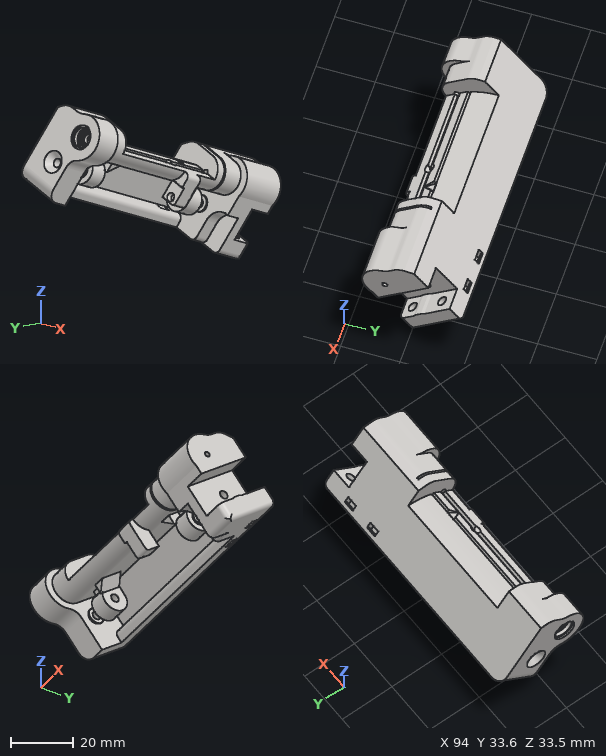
import cadquery as cq
import math

TILT = 38.7
LENGTH = 94.0

LEFT_BOSS_END = 9.5
WINDOW_START = 17.1
WINDOW_END = 64.6
RIGHT_BOSS_START = 76.5
RIGHT_FOOT_START = 81.9

CROWN_V = 29.3
LEFT_FLAT_U = 5.5
RIGHT_FLAT_U = 6.1
LEFT_CREST = (1.7, 28.0)
LEFT_BACK_TOP = 26.4
RIGHT_CREST = (2.4, 28.0)
RIGHT_BACK_TOP = 25.7
LEFT_FOOT_U = 15.4
RIGHT_FOOT_U = 21.7
RECESS_U = 15.1
RECESS_V = 13.9
RECESS_BLEND = 5.8
FOOT_ROUND = 2.1

ROD_U = 14.5
ROD_V = 23.5
BOSS_R = 7.6
BOSS_TOP_BLEND = 6.4
BOSS_FOOT_BLEND = 4.7
ROD_HOLE_D = 1.8
BORE_STEPS = ((7.9, 0.75), (6.6, 2.3), (5.5, 3.0), (4.4, 3.8), (3.3, 5.3))

HOUSING_U = 13.4
HOUSING_R = CROWN_V - ROD_V
HOUSING_FRONT = HOUSING_U + HOUSING_R

BACK_WALL = 0.9
CAVITY_TOP = ROD_V - HOUSING_R
RAIL_U = 5.9
RAIL_V = 4.2
RAIL_ROUND = 2.1

COVER_BACK_V = 19.0
COVER_FRONT = (8.8, 23.0)
COVER_R = 19.7
SEAM_WIDTH = 0.8
SEAM_DEPTH = 1.4
ROD_GROOVE_U = 14.3
ROD_GROOVE_WIDTH = 2.1
ROD_GROOVE_DEPTH = 1.4
NOTCH_X = 54.9
NOTCH_WIDTH = 3.5
NOTCH_DEPTH = 1.3
FUNNEL_X = 47.0
FUNNEL_D = 3.6
FUNNEL_TIP_D = 1.8
FUNNEL_DEPTH = 2.1

SLIT_START = 67.9
SLIT_WIDTH = 0.75
SLIT_BACK_U = 1.9
SLIT_FLOOR_V = 17.1

SCREW_U = 9.6
SCREW_V = 11.3
SCREW_HOLE_D = 2.9
COUNTERSINK_D = 7.3
COLLAR_R = 4.7
COLLAR_LENGTH = 6.4
LEFT_COLLAR_START = 14.7
RIGHT_COLLAR_START = 64.9
RIM_R = 2.6
RIM_LENGTH = 0.6
PAD_R = 2.8
PAD_LENGTH = 0.6
GUSSET_LENGTH = 4.2
GUSSET_WIDTH = 9.0
GUSSET_DROP = 3.4

CLIP_START = 49.1
CLIP_END = 55.6
CLIP_STEP = 1.0
CLIP_BACK_U = 15.8
CLIP_BOTTOM = 11.9
CLIP_STEP_V = 18.7
CLIP_TOP = ROD_V
CLIP_TOP_ROUND = 1.7
CLIP_BOTTOM_ROUND = 1.1
CLIP_HOLE_U = 18.7
CLIP_HOLE_V = 13.6
CLIP_HOLE_D = 2.9
CLIP_TIP_D = 1.8
CLIP_HOLE_DEPTH = 1.4

END_SLOT_START = 85.9
END_SLOT_BOTTOM = 6.6
END_SLOT_TOP = 18.1
RIDGE_BASE = (11.0, 15.5)
RIDGE_TOP = (12.2, 14.5)
RIDGE_HEIGHT = 0.3
END_HOLE_X = 90.0
END_HOLE_D = 3.3
END_HOLE_DEPTH = 3.8
END_HOLE_US = (4.9, 17.6)

LOOP_STARTS = (68.2, 80.0)
LOOP_WIDTH = 4.1
LOOP_BOTTOM = 1.8
LOOP_TOP = 3.95
LOOP_DEPTH = 3.2
LOOP_BAR = 0.9

LEFT_CORNER_R = 4.6
RIGHT_CORNER_R = 2.1

CLEAR = 47.0


def box(x0, x1, u0, u1, v0, v1):
    """Block between two corners given in x, u and v."""
    return cq.Workplane("XY").box(x1 - x0, u1 - u0, v1 - v0, centered=False).translate((x0, -u1, v0))


def rod(x0, x1, u, v, diameter):
    """Cylinder along the length."""
    return cq.Workplane("YZ", origin=(x0, 0, 0)).center(-u, v).circle(diameter / 2).extrude(x1 - x0)


def cone(x0, x1, u, v, start_d, end_d):
    """Truncated cone along the length."""
    solid = cq.Solid.makeCone(
        start_d / 2, end_d / 2, x1 - x0, pnt=cq.Vector(x0, -u, v), dir=cq.Vector(1, 0, 0)
    )
    return cq.Workplane(obj=solid)


def sketch(x0, u, v):
    """Start a cross-section outline at station x0."""
    return cq.Workplane("YZ", origin=(x0, 0, 0)).moveTo(-u, v)


def add_crown(outline, flat_u, crest, back_top):
    """Finish an outline over the crown and down the back."""
    return (
        outline.lineTo(-flat_u, CROWN_V)
        .tangentArcPoint((-crest[0], crest[1]), relative=False)
        .lineTo(0, back_top)
        .close()
    )


def add_boss(outline, start):
    """Continue an outline from start, around the boss to the flat of the crown."""
    rise = CROWN_V + BOSS_TOP_BLEND - ROD_V
    reach = BOSS_R + BOSS_TOP_BLEND
    blend_u = ROD_U - math.sqrt(reach**2 - rise**2)
    boss_end_u = ROD_U + (blend_u - ROD_U) * BOSS_R / reach
    boss_end_v = ROD_V + rise * BOSS_R / reach
    return (
        outline.threePointArc((-(ROD_U + BOSS_R), ROD_V), (-boss_end_u, boss_end_v))
        .tangentArcPoint((-blend_u, CROWN_V), relative=False)
    )


def left_end():
    """Left block: narrow foot blended into the boss."""
    run = LEFT_FOOT_U + BOSS_FOOT_BLEND - ROD_U
    reach = BOSS_R + BOSS_FOOT_BLEND
    drop = math.sqrt(reach**2 - run**2)
    boss_start = (ROD_U + run * BOSS_R / reach, ROD_V - drop * BOSS_R / reach)
    outline = (
        sketch(0, 0, 0)
        .lineTo(-LEFT_FOOT_U, 0)
        .lineTo(-LEFT_FOOT_U, ROD_V - drop)
        .tangentArcPoint((-boss_start[0], boss_start[1]), relative=False)
    )
    outline = add_boss(outline, boss_start)
    return add_crown(outline, LEFT_FLAT_U, LEFT_CREST, LEFT_BACK_TOP).extrude(LEFT_BOSS_END)


def right_end():
    """Right block: wide foot, set back and rounded beside the cavity."""
    boss_start = (RIGHT_FOOT_U, ROD_V - math.sqrt(BOSS_R**2 - (RIGHT_FOOT_U - ROD_U) ** 2))
    outline = sketch(RIGHT_BOSS_START, 0, 0).lineTo(-RIGHT_FOOT_U, 0).lineTo(-boss_start[0], boss_start[1])
    outline = add_boss(outline, boss_start)
    block = add_crown(outline, RIGHT_FLAT_U, RIGHT_CREST, RIGHT_BACK_TOP)
    block = block.extrude(LENGTH - RIGHT_BOSS_START)
    recess = box(RIGHT_BOSS_START, RIGHT_FOOT_START, RECESS_U, CLEAR, 0, RECESS_V)
    block = block.cut(recess.edges("|X and >Y and >Z").fillet(RECESS_BLEND))
    front_feet = cq.selectors.BoxSelector((RIGHT_BOSS_START - 0.9, -CLEAR, -0.9), (LENGTH + 0.9, -RECESS_U + 0.9, 0.9))
    return block.edges("|X").edges(front_feet).fillet(FOOT_ROUND)


def housing(x0, x1, flat_u, crest, back_top):
    """Head with a flat crown, a round front and a plain back wall below."""
    outline = (
        sketch(x0, 0, 0)
        .lineTo(-BACK_WALL, 0)
        .lineTo(-BACK_WALL, CAVITY_TOP)
        .lineTo(-HOUSING_U, CAVITY_TOP)
        .threePointArc((-HOUSING_FRONT, ROD_V), (-HOUSING_U, CROWN_V))
    )
    return add_crown(outline, flat_u, crest, back_top).extrude(x1 - x0)


def window_body():
    """Middle stretch: curved cover at the back and the housing cut flat at the rod axis."""
    chord_u = COVER_FRONT[0]
    chord_v = COVER_FRONT[1] - COVER_BACK_V
    chord = math.hypot(chord_u, chord_v)
    bulge = COVER_R - math.sqrt(COVER_R**2 - chord**2 / 4)
    mid_u = chord_u / 2 - bulge * chord_v / chord
    mid_v = COVER_BACK_V + chord_v / 2 + bulge * chord_u / chord
    seam_front = COVER_FRONT[0] + SEAM_WIDTH
    seam_floor = COVER_FRONT[1] - SEAM_DEPTH
    half = math.sqrt(0.5) * HOUSING_R
    body = (
        sketch(WINDOW_START, 0, 0)
        .lineTo(-BACK_WALL, 0)
        .lineTo(-BACK_WALL, CAVITY_TOP)
        .lineTo(-HOUSING_U, CAVITY_TOP)
        .threePointArc((-(HOUSING_U + half), ROD_V - half), (-HOUSING_FRONT, ROD_V))
        .lineTo(-seam_front, ROD_V)
        .lineTo(-seam_front, seam_floor)
        .lineTo(-COVER_FRONT[0], seam_floor)
        .lineTo(-COVER_FRONT[0], COVER_FRONT[1])
        .threePointArc((-mid_u, mid_v), (0, COVER_BACK_V))
        .close()
        .extrude(WINDOW_END - WINDOW_START)
    )
    groove_back = ROD_GROOVE_U - ROD_GROOVE_WIDTH / 2
    groove_front = ROD_GROOVE_U + ROD_GROOVE_WIDTH / 2
    body = body.cut(
        box(WINDOW_START, WINDOW_END, groove_back, groove_front, ROD_V - ROD_GROOVE_DEPTH, ROD_V)
    )
    notch = (
        cq.Workplane("XY", origin=(NOTCH_X, 0, ROD_V - NOTCH_DEPTH))
        .polyline(
            [(-NOTCH_WIDTH / 2, -seam_front), (NOTCH_WIDTH / 2, -seam_front), (0, -groove_back)]
        )
        .close()
        .extrude(NOTCH_DEPTH)
    )
    ramp = (
        sketch(NOTCH_X - NOTCH_WIDTH / 2, seam_front, ROD_V - NOTCH_DEPTH)
        .lineTo(-seam_front, ROD_V)
        .lineTo(-groove_back, ROD_V)
        .close()
        .extrude(NOTCH_WIDTH)
    )
    notch = notch.intersect(ramp)
    funnel = cq.Solid.makeCone(
        FUNNEL_D / 2,
        FUNNEL_TIP_D / 2,
        FUNNEL_DEPTH,
        pnt=cq.Vector(FUNNEL_X, -ROD_GROOVE_U, ROD_V),
        dir=cq.Vector(0, 0, -1),
    )
    return body.cut(notch).cut(cq.Workplane(obj=funnel))


def rail():
    """Thick lower edge of the back wall with a rounded front corner."""
    bar = box(LEFT_BOSS_END, RIGHT_BOSS_START, 0, RAIL_U, 0, RAIL_V)
    return bar.edges("|X and >Z and <Y").fillet(RAIL_ROUND)


def collar(start, outward):
    """Collar on the screw axis hung from the housing; outward is -1 or 1 along x."""
    end = start + COLLAR_LENGTH
    ring = rod(start, end, SCREW_U, SCREW_V, 2 * COLLAR_R)
    web = box(start, end, SCREW_U - COLLAR_R, SCREW_U, SCREW_V, CAVITY_TOP)
    outer, inner = (start, end) if outward < 0 else (end, start)
    rim_ends = sorted((outer, outer + outward * RIM_LENGTH))
    rim = rod(*rim_ends, SCREW_U, SCREW_V, 2 * RIM_R)
    gusset = (
        cq.Workplane("XZ", origin=(0, GUSSET_WIDTH / 2 - SCREW_U, 0))
        .polyline(
            [
                (inner, CAVITY_TOP),
                (inner - outward * GUSSET_LENGTH, CAVITY_TOP),
                (inner, CAVITY_TOP - GUSSET_DROP),
            ]
        )
        .close()
        .extrude(GUSSET_WIDTH)
    )
    return ring.union(web).union(rim).union(gusset)


def clip():
    """Hook block under the front of the housing stepped on its left side, with a conical dimple."""
    narrow_start = CLIP_START + CLIP_STEP
    block = box(CLIP_START, CLIP_END, CLIP_BACK_U, RIGHT_FOOT_U, CLIP_BOTTOM, CLIP_TOP)
    block = block.edges("|X and <Y and >Z").fillet(CLIP_TOP_ROUND)
    block = block.edges("|X and <Y and <Z").fillet(CLIP_BOTTOM_ROUND)
    step = box(CLIP_START, narrow_start, CLIP_BACK_U, RIGHT_FOOT_U, CLIP_BOTTOM, CLIP_STEP_V)
    dimple = cone(
        narrow_start, narrow_start + CLIP_HOLE_DEPTH, CLIP_HOLE_U, CLIP_HOLE_V, CLIP_HOLE_D, CLIP_TIP_D
    )
    return block.cut(step).cut(dimple)


def cut_axes(body):
    """Rod hole with its stepped bore, and the countersunk screw hole."""
    body = body.cut(rod(0, LENGTH, ROD_U, ROD_V, ROD_HOLE_D))
    for diameter, depth in BORE_STEPS:
        body = body.cut(rod(0, depth, ROD_U, ROD_V, diameter))
    body = body.cut(rod(0, LENGTH, SCREW_U, SCREW_V, SCREW_HOLE_D))
    sink_depth = (COUNTERSINK_D - SCREW_HOLE_D) / 2
    return body.cut(cone(0, sink_depth, SCREW_U, SCREW_V, COUNTERSINK_D, SCREW_HOLE_D))


def cut_end_slot(body):
    """Slot across the right end, with a low ridge and two holes in its floor."""
    body = body.cut(box(END_SLOT_START, LENGTH, 0, CLEAR, END_SLOT_BOTTOM, END_SLOT_TOP))
    holes = (
        cq.Workplane("XY", origin=(0, 0, END_SLOT_BOTTOM - END_HOLE_DEPTH))
        .pushPoints([(END_HOLE_X, -u) for u in END_HOLE_US])
        .circle(END_HOLE_D / 2)
        .extrude(END_HOLE_DEPTH)
    )
    ridge_top_v = END_SLOT_BOTTOM + RIDGE_HEIGHT
    ridge = (
        sketch(END_SLOT_START, RIDGE_BASE[0], END_SLOT_BOTTOM)
        .lineTo(-RIDGE_TOP[0], ridge_top_v)
        .lineTo(-RIDGE_TOP[1], ridge_top_v)
        .lineTo(-RIDGE_BASE[1], END_SLOT_BOTTOM)
        .close()
        .extrude(LENGTH - END_SLOT_START)
    )
    return body.cut(holes).union(ridge)


def cut_strap_loops(body):
    """Slots from the back that turn down to the foot, each leaving a bar at the corner."""
    for start in LOOP_STARTS:
        end = start + LOOP_WIDTH
        body = body.cut(box(start, end, 0, LOOP_DEPTH, LOOP_BOTTOM, LOOP_TOP))
        body = body.cut(box(start, end, LOOP_BAR, LOOP_DEPTH, 0, LOOP_BOTTOM))
    return body


def round_foot_corner(body, x, inward, radius):
    """Round the lower corner at one end; inward is 1 or -1 along x."""
    scrap = box(*sorted((x, x + inward * radius)), 0, CLEAR, 0, radius)
    keep = (
        cq.Workplane("XZ")
        .center(x + inward * radius, radius)
        .circle(radius)
        .extrude(CLEAR)
    )
    return body.cut(scrap.cut(keep))


def round_front_corner(body):
    """Round the upright front corner of the right foot, below the end slot."""
    inner_x = LENGTH - RIGHT_CORNER_R
    inner_u = RIGHT_FOOT_U - RIGHT_CORNER_R
    scrap = box(inner_x, LENGTH, inner_u, RIGHT_FOOT_U, 0, END_SLOT_BOTTOM)
    keep = cq.Workplane("XY").center(inner_x, -inner_u).circle(RIGHT_CORNER_R).extrude(END_SLOT_BOTTOM)
    return body.cut(scrap.cut(keep))


body = left_end().union(right_end())
body = body.union(housing(LEFT_BOSS_END, WINDOW_START, LEFT_FLAT_U, LEFT_CREST, LEFT_BACK_TOP))
body = body.union(housing(WINDOW_END, RIGHT_BOSS_START, RIGHT_FLAT_U, RIGHT_CREST, RIGHT_BACK_TOP))
body = body.union(window_body()).union(rail()).union(clip())
body = body.union(collar(LEFT_COLLAR_START, -1)).union(collar(RIGHT_COLLAR_START, 1))

for pad_start in (LEFT_BOSS_END, RIGHT_BOSS_START - PAD_LENGTH):
    body = body.union(rod(pad_start, pad_start + PAD_LENGTH, SCREW_U, SCREW_V, 2 * PAD_R))

slit_end = SLIT_START + SLIT_WIDTH
body = body.cut(box(SLIT_START, slit_end, SLIT_BACK_U, CLEAR, SLIT_FLOOR_V, CLEAR))
body = cut_axes(body)
body = cut_end_slot(body)
body = cut_strap_loops(body)
body = round_foot_corner(body, 0, 1, LEFT_CORNER_R)
body = round_foot_corner(body, LENGTH, -1, RIGHT_CORNER_R)
body = round_front_corner(body)

result = body.rotate((0, 0, 0), (1, 0, 0), TILT)